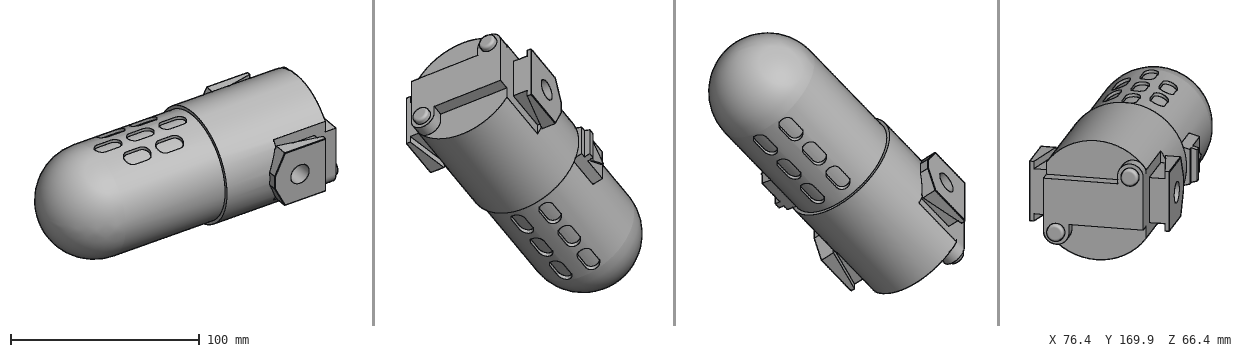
import cadquery as cq
import math

HEAD_RADIUS = 33.2
HEAD_LENGTH = 65.9
FLAT_X = 27.2
FLAT_FRONT_Y = 33.3

BOWL_RADIUS = 31.34
BOWL_LENGTH = 62.5
OVERALL_LENGTH = 169.9

PLATE_THICKNESS = 6.8
PLATE_BACK_Y = HEAD_LENGTH + PLATE_THICKNESS
PLATE_HALF_HEIGHT = 12.4
LUG_RADIUS = 7.0
LUG_X = FLAT_X - LUG_RADIUS
LUG_Z = 17.0
SCREW_RADIUS = 4.8
SCREW_HEIGHT = OVERALL_LENGTH - BOWL_RADIUS - BOWL_LENGTH - PLATE_BACK_Y
SCREW_ROUNDING = 1.5

EAR_X = 38.2
EAR_BACK_Y = 59.1
EAR_SHOULDER_Y = FLAT_FRONT_Y
EAR_TIP_Y = 27.0
EAR_HALF_HEIGHT = 16.6
EAR_TIP_HALF_HEIGHT = 3.9
EAR_BACK_INNER_X = 35.7
EAR_SHOULDER_INNER_X = 29.9
EAR_CHAMFER = 0.3
EAR_BLOCK_HALF_HEIGHT = 12.5
PORT_Y = 42.8
PORT_RADIUS = 5.8

LATCH_X = 35.0
LATCH_LENGTH = 22.0
LATCH_HALF_HEIGHT = 9.7
LATCH_ROOT_X = 29.0
LATCH_ROOT_HALF_HEIGHT = 11.4
LIP_START_Y = -3.0
LIP_END_Y = -6.6
ARROW_HEIGHT = 1.0
ARROW_BASE_Y = -10.2
ARROW_TIP_Y = -21.5
ARROW_HALF_WIDTH = 7.0

SLOT_WIDTH = 8.0
SLOT_LENGTH = 16.0
TOP_SLOT_DEPTH = 1.7
BOTTOM_SLOT_DEPTH = 2.4
SLOT_PITCH = 20.4
FIRST_SLOT_Y = -12.7
LONG_ROW = [FIRST_SLOT_Y - i * SLOT_PITCH for i in range(3)]
SHORT_ROW = [y - SLOT_PITCH / 2 for y in LONG_ROW[:2]]
TOP_SIDE_ROW_X = 12.7
BOTTOM_ROW_X = 8.5


def box(x_range, y_range, z_range):
    """Box between the given limits."""
    (x0, x1), (y0, y1), (z0, z1) = x_range, y_range, z_range
    return cq.Workplane("XY").box(x1 - x0, y1 - y0, z1 - z0, centered=False).translate((x0, y0, z0))


def cylinder_y(radius, y_start, y_end, x=0, z=0):
    """Cylinder along +Y."""
    base = cq.Workplane("XZ", origin=(x, y_start, z))
    return base.circle(radius).extrude(-(y_end - y_start))


def make_head():
    """Round head with a flat on each side, running from the back part of the way forward."""
    head = cylinder_y(HEAD_RADIUS, 0, HEAD_LENGTH)
    for x_range in ((FLAT_X, EAR_X), (-EAR_X, -FLAT_X)):
        head = head.cut(box(x_range, (FLAT_FRONT_Y, HEAD_LENGTH), (-HEAD_RADIUS, HEAD_RADIUS)))
    return head


def make_bowl():
    """Straight bowl closed by a hemisphere."""
    diagonal = BOWL_RADIUS * math.sqrt(0.5)
    return (
        cq.Workplane("XY")
        .lineTo(BOWL_RADIUS, 0)
        .lineTo(BOWL_RADIUS, -BOWL_LENGTH)
        .threePointArc((diagonal, -BOWL_LENGTH - diagonal), (0, -BOWL_LENGTH - BOWL_RADIUS))
        .close()
        .revolve(360, (0, 0, 0), (0, 1, 0))
    )


def make_slots(x, row, side, depth):
    """Row of slots cut along Z to a floor concentric with the bowl; side is +1 for top, -1 for bottom."""
    slots = (
        cq.Workplane("XY")
        .pushPoints([(x, y) for y in row])
        .slot2D(SLOT_LENGTH, SLOT_WIDTH, 90)
        .extrude(side * HEAD_RADIUS)
    )
    return slots.cut(cylinder_y(BOWL_RADIUS - depth, -BOWL_LENGTH - BOWL_RADIUS, 0))


def make_lug(side):
    """Corner lug with its screw; side is +1 for the upper -X corner, -1 for the lower +X corner."""
    x = -side * LUG_X
    z = side * LUG_Z
    lug = cylinder_y(LUG_RADIUS, HEAD_LENGTH, PLATE_BACK_Y, x, z)
    web = box(
        (x - LUG_RADIUS, x + LUG_RADIUS),
        (HEAD_LENGTH, PLATE_BACK_Y),
        (min(0, z), max(0, z)),
    )
    screw = cylinder_y(SCREW_RADIUS, HEAD_LENGTH, PLATE_BACK_Y + SCREW_HEIGHT, x, z)
    screw = screw.faces(">Y").edges().fillet(SCREW_ROUNDING)
    return lug.union(web).union(screw)


def make_ear():
    """Pointed ear on the +X side with a sloping inner face, backed by a block on the head flat."""
    outline = [
        (EAR_BACK_Y, EAR_HALF_HEIGHT),
        (EAR_SHOULDER_Y, EAR_HALF_HEIGHT),
        (EAR_TIP_Y, EAR_TIP_HALF_HEIGHT),
        (EAR_TIP_Y, -EAR_TIP_HALF_HEIGHT),
        (EAR_SHOULDER_Y, -EAR_HALF_HEIGHT),
        (EAR_BACK_Y, -EAR_HALF_HEIGHT),
    ]
    plate = cq.Workplane("YZ").polyline(outline).close().extrude(EAR_X)
    plate = plate.faces(">X").edges().chamfer(EAR_CHAMFER)
    slope = (EAR_BACK_INNER_X - EAR_SHOULDER_INNER_X) / (EAR_BACK_Y - EAR_SHOULDER_Y)
    tip_inner_x = EAR_SHOULDER_INNER_X - slope * (EAR_SHOULDER_Y - EAR_TIP_Y)
    section = [
        (EAR_X, EAR_BACK_Y),
        (EAR_BACK_INNER_X, EAR_BACK_Y),
        (tip_inner_x, EAR_TIP_Y),
        (EAR_X, EAR_TIP_Y),
    ]
    wedge = cq.Workplane("XY").polyline(section).close().extrude(EAR_HALF_HEIGHT, both=True)
    block = box(
        (0, EAR_BACK_INNER_X),
        (EAR_SHOULDER_Y, EAR_BACK_Y),
        (-EAR_BLOCK_HALF_HEIGHT, EAR_BLOCK_HALF_HEIGHT),
    )
    return plate.intersect(wedge.union(block))


def make_latch():
    """Latch with tapering sides, a cross lip and a raised arrow."""
    taper = (LATCH_ROOT_HALF_HEIGHT - LATCH_HALF_HEIGHT) / (LATCH_X - LATCH_ROOT_X)
    lip_half_height = LATCH_HALF_HEIGHT - taper * (EAR_X - LATCH_X)
    section = [
        (-LATCH_ROOT_X, LATCH_ROOT_HALF_HEIGHT),
        (-EAR_X, lip_half_height),
        (-EAR_X, -lip_half_height),
        (-LATCH_ROOT_X, -LATCH_ROOT_HALF_HEIGHT),
    ]
    profile = [
        (0, 0),
        (-LATCH_X, 0),
        (-LATCH_X, LIP_START_Y),
        (-EAR_X, LIP_START_Y),
        (-EAR_X, LIP_END_Y),
        (-LATCH_X, LIP_END_Y),
        (-LATCH_X, -LATCH_LENGTH),
        (0, -LATCH_LENGTH),
    ]
    latch = cq.Workplane("XZ").polyline(section).close().extrude(LATCH_LENGTH)
    latch = latch.intersect(
        cq.Workplane("XY").polyline(profile).close().extrude(LATCH_ROOT_HALF_HEIGHT, both=True)
    )
    arrow = (
        cq.Workplane("YZ", origin=(-LATCH_X, 0, 0))
        .polyline([(ARROW_BASE_Y, ARROW_HALF_WIDTH), (ARROW_BASE_Y, -ARROW_HALF_WIDTH), (ARROW_TIP_Y, 0)])
        .close()
        .extrude(-ARROW_HEIGHT)
    )
    return latch.union(arrow)


bowl = make_bowl()
bowl = bowl.cut(make_slots(0, LONG_ROW, 1, TOP_SLOT_DEPTH))
for mirror_side in (1, -1):
    bowl = bowl.cut(make_slots(mirror_side * TOP_SIDE_ROW_X, SHORT_ROW, 1, TOP_SLOT_DEPTH))
    bowl = bowl.cut(make_slots(mirror_side * BOTTOM_ROW_X, LONG_ROW, -1, BOTTOM_SLOT_DEPTH))

back_plate = box(
    (-FLAT_X, FLAT_X),
    (HEAD_LENGTH, PLATE_BACK_Y),
    (-PLATE_HALF_HEIGHT, PLATE_HALF_HEIGHT),
)
ear = make_ear()

result = make_head().union(bowl).union(back_plate)
result = result.union(make_lug(1)).union(make_lug(-1))
result = result.union(ear).union(ear.mirror("YZ")).union(make_latch())

port = cq.Workplane("YZ").center(PORT_Y, 0).circle(PORT_RADIUS).extrude(EAR_X, both=True)
result = result.cut(port)